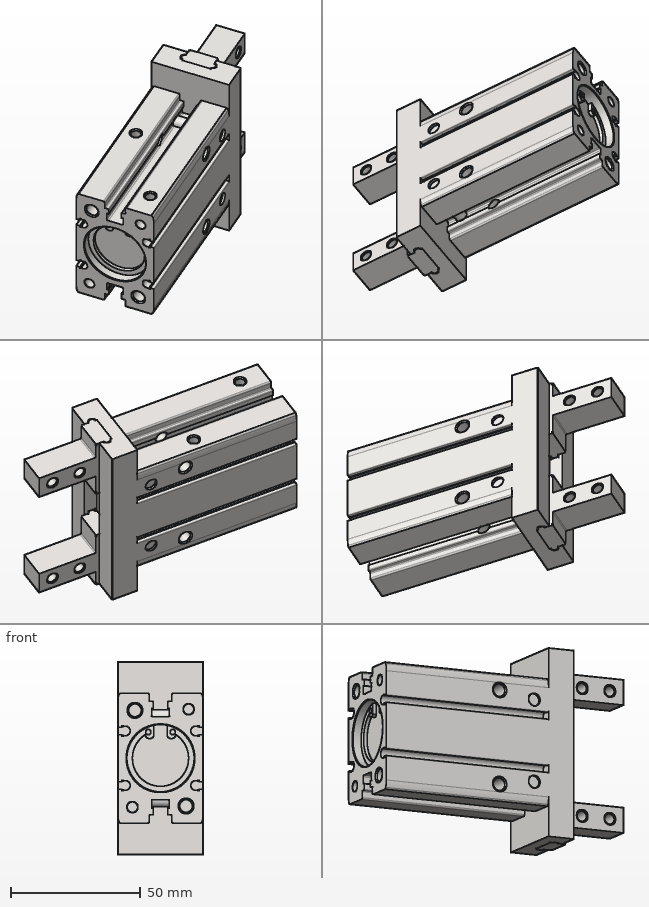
import cadquery as cq

width = 33.0
body_height = 50.4
guide_height = 74.6
total_length = 107.6
body_length = 70.1
guide_length = 11.1
guide_chamfer = 0.3
guide_front = body_length + guide_length
half_width = width / 2
half_height = body_height / 2
margin = 0.1

flank_height = 3.5
flank_inset = 0.38
flank_bow = 0.1
corner_size = 0.7
corner_bow = 0.05

slot_half_width = 4.4
slot_step_depth = 3.2
neck_half_width = 2.75
neck_depth = 5.8
cavity_half_width = 3.4
slot_depth = 9.2
slot_edge_radius = 0.6
slot_step_radius = 0.3
slot_floor_radius = 0.5

groove_offset = 10.5
groove_diameter = 3.8
groove_inset = 2.9
groove_mouth = 2.9
groove_lip_radius = 0.16
undercut_start = 1.6
undercut_end = 2.0
undercut_height = 4.1

bore_diameter = 26.0
bore_chamfer = 0.27
ring_recess = 3.8
ring_thickness = 1.5
ring_inner_diameter = 21.7
ring_gap = 5.4
ear_outer_x = 5.9
ear_outer_bottom = 8.9
ear_inner_bottom = 8.4
ear_bottom = 7.6
ear_hole_diameter = 2.0
ear_hole_x = 4.7
ear_hole_z = 10.1

mount_diameter = 5.0
mount_chamfer = 0.5
rear_mount_x = 9.9
rear_mount_z = 18.5
rear_mount_depth = 9.7
rear_dowel_diameter = 4.1
rear_dowel_chamfer = 0.1
rear_dowel_x = 10.9
rear_dowel_z = 19.0
rear_dowel_depth = 6.5
side_mount_y = 49.0
side_mount_z = 18.6
port_diameter = 4.0
port_chamfer = 0.5
port_depth = 3.8
port_places = [(-10.2, 41.9), (10.2, 10.5)]

pin_diameter = 5.0
pin_y = 63.9
pin_z = 16.3
pin_recess = 1.1

jaw_width = 12.2
jaw_bottom = 75.8
jaw_base_front = 82.7
jaw_base_inner = 10.9
jaw_base_outer = guide_height / 2
rail_y = 77.8
rail_half_height = 1.4
rail_reach = 1.1
race_half_height = 1.6
race_reach = 1.5
race_end = 9.7
relief_size = 0.4
relief_length = 0.9
finger_height = 10.0
finger_z = 25.3
finger_fillet = 0.4
finger_hole_diameter = 4.1
finger_hole_chamfer = 0.4
finger_hole_tip_distance = 5.9
finger_hole_spacing = 12.0


def box(x_min, x_max, y_min, y_max, z_min, z_max):
    size = (x_max - x_min, y_max - y_min, z_max - z_min)
    return cq.Workplane("XY").box(*size, centered=False).translate((x_min, y_min, z_min))


def rod(axis, diameter, start, length):
    """Cylinder along a positive axis, starting at a point."""
    direction = {"X": (1, 0, 0), "Y": (0, 1, 0), "Z": (0, 0, 1)}[axis]
    plane = cq.Plane(origin=start, normal=direction)
    return cq.Workplane(plane).circle(diameter / 2).extrude(length)


def chamfered_hole(point, inward, diameter, depth, chamfer):
    """Cutter for a blind hole with a conical mouth."""
    plane = cq.Plane(origin=point, normal=inward)
    hole = cq.Workplane(plane).circle(diameter / 2).extrude(depth)
    mouth = cq.Workplane(plane).circle(diameter / 2 + chamfer).extrude(chamfer, taper=45)
    return hole.union(mouth)


def lengthwise_edges(solid, x_range, z_range):
    """Edges along Y whose centres lie in a range of X and Z."""
    region = cq.selectors.BoxSelector(
        (x_range[0], 0, z_range[0]), (x_range[1], total_length, z_range[1]))
    return solid.edges("|Y").edges(region)


def body_blank():
    flank_start = half_height - flank_height
    flank_end = half_height - corner_size
    flank_x = half_width - flank_inset
    land_x = flank_x - corner_size
    bow_x = half_width - flank_inset / 2 + flank_bow
    bow_z = (flank_start + flank_end) / 2
    round_x = land_x + corner_size / 2 + corner_bow
    round_z = flank_end + corner_size / 2 + corner_bow
    return (
        cq.Workplane("XZ")
        .moveTo(-half_width, -flank_start)
        .lineTo(-half_width, flank_start)
        .threePointArc((-bow_x, bow_z), (-flank_x, flank_end))
        .threePointArc((-round_x, round_z), (-land_x, half_height))
        .lineTo(land_x, half_height)
        .threePointArc((round_x, round_z), (flank_x, flank_end))
        .threePointArc((bow_x, bow_z), (half_width, flank_start))
        .lineTo(half_width, -flank_start)
        .threePointArc((bow_x, -bow_z), (flank_x, -flank_end))
        .threePointArc((round_x, -round_z), (land_x, -half_height))
        .lineTo(-land_x, -half_height)
        .threePointArc((-round_x, -round_z), (-flank_x, -flank_end))
        .threePointArc((-bow_x, -bow_z), (-half_width, -flank_start))
        .close()
        .extrude(-body_length)
    )


def stepped_slot():
    """Cutter for the upper slot: wide mouth, narrow neck, wider cavity."""
    step_z = half_height - slot_step_depth
    neck_z = half_height - neck_depth
    floor_z = half_height - slot_depth
    mouth = box(-slot_half_width, slot_half_width, 0, body_length, step_z, half_height)
    neck = box(-neck_half_width, neck_half_width, 0, body_length, neck_z, step_z)
    cavity = box(-cavity_half_width, cavity_half_width, 0, body_length, floor_z, neck_z)
    cavity = cavity.edges("|Y and <Z").fillet(slot_floor_radius)
    slot = mouth.union(neck).union(cavity)
    across = (-half_width, half_width)
    at_step = (step_z - margin, step_z + margin)
    return lengthwise_edges(slot, across, at_step).fillet(slot_step_radius)


def sensor_groove(side, z):
    """Cutter for a keyhole-shaped groove with a narrow undercut behind its lips."""
    channel = rod("Y", groove_diameter, (side * (half_width - groove_inset), 0, z), body_length)
    mouth = box(-groove_inset, 0, 0, body_length, -groove_mouth / 2, groove_mouth / 2)
    undercut = box(-undercut_end, -undercut_start, 0, body_length,
                   -undercut_height / 2, undercut_height / 2)
    entry = mouth.union(undercut)
    if side < 0:
        entry = entry.mirror("YZ")
    return channel.union(entry.translate((side * half_width, 0, z)))


def retaining_ring():
    """Open ring in the rear bore with two drilled ears beside the gap."""
    start = (0, ring_recess, 0)
    outer = rod("Y", bore_diameter, start, ring_thickness)
    ring = outer.cut(rod("Y", ring_inner_diameter, start, ring_thickness))
    ring_end = ring_recess + ring_thickness
    ring = ring.cut(box(-ring_gap / 2, ring_gap / 2, ring_recess, ring_end, 0, half_height))
    for side in (-1, 1):
        ear = (
            cq.Workplane(cq.Plane(origin=start, xDir=(1, 0, 0), normal=(0, -1, 0)))
            .moveTo(side * ring_gap / 2, bore_diameter / 2)
            .lineTo(side * ring_gap / 2, ear_inner_bottom)
            .threePointArc((side * ear_hole_x, ear_bottom), (side * ear_outer_x, ear_outer_bottom))
            .lineTo(side * ear_outer_x, bore_diameter / 2)
            .close()
            .extrude(-ring_thickness)
        )
        ring = ring.union(ear.intersect(outer))
        ear_hole = (side * ear_hole_x, ring_recess, ear_hole_z)
        ring = ring.cut(rod("Y", ear_hole_diameter, ear_hole, ring_thickness))
    return ring


def jaw_section(half_rail, reach):
    """XY outline of the jaw base with a rounded rail on each side."""
    side = jaw_width / 2
    return (
        cq.Workplane("XY")
        .moveTo(-side, jaw_bottom)
        .lineTo(side, jaw_bottom)
        .lineTo(side, rail_y - half_rail)
        .threePointArc((side + reach, rail_y), (side, rail_y + half_rail))
        .lineTo(side, jaw_base_front)
        .lineTo(-side, jaw_base_front)
        .lineTo(-side, rail_y + half_rail)
        .threePointArc((-side - reach, rail_y), (-side, rail_y - half_rail))
        .close()
    )


def corner_relief(x, z):
    """Cutter that bevels a short stretch of a front edge of the jaw base."""
    return (
        cq.Workplane("XY")
        .workplane(offset=z)
        .moveTo(x - relief_size, jaw_base_front)
        .lineTo(x, jaw_base_front - relief_size)
        .lineTo(x + relief_size, jaw_base_front)
        .lineTo(x, jaw_base_front + relief_size)
        .close()
        .extrude(relief_length)
    )


def make_housing():
    body = body_blank()

    slot = stepped_slot()
    body = body.cut(slot).cut(slot.mirror("XY"))
    over_slot = (-slot_half_width - margin, slot_half_width + margin)
    for z in (-half_height, half_height):
        mouth_edges = lengthwise_edges(body, over_slot, (z - margin, z + margin))
        body = mouth_edges.fillet(slot_edge_radius)

    for side in (-1, 1):
        for z in (-groove_offset, groove_offset):
            body = body.cut(sensor_groove(side, z))
            side_x = side * half_width
            lip_heights = (z - groove_mouth, z + groove_mouth)
            lip_edges = lengthwise_edges(body, (side_x - margin, side_x + margin), lip_heights)
            body = lip_edges.fillet(groove_lip_radius)

    bore_depth = ring_recess + ring_thickness
    body = body.cut(chamfered_hole((0, 0, 0), (0, 1, 0), bore_diameter, bore_depth, bore_chamfer))
    body = body.union(retaining_ring())

    for side in (-1, 1):
        mount = (-side * rear_mount_x, 0, side * rear_mount_z)
        dowel = (side * rear_dowel_x, 0, side * rear_dowel_z)
        body = body.cut(
            chamfered_hole(mount, (0, 1, 0), mount_diameter, rear_mount_depth, mount_chamfer))
        body = body.cut(
            chamfered_hole(dowel, (0, 1, 0), rear_dowel_diameter, rear_dowel_depth, rear_dowel_chamfer))

    for z in (-side_mount_z, side_mount_z):
        for side in (-1, 1):
            mouth = (side * half_width, side_mount_y, z)
            body = body.cut(
                chamfered_hole(mouth, (-side, 0, 0), mount_diameter, half_width, mount_chamfer))

    for x, y in port_places:
        body = body.cut(
            chamfered_hole((x, y, half_height), (0, 0, -1), port_diameter, port_depth, port_chamfer))

    pin_length = width - 2 * pin_recess
    for z in (-pin_z, pin_z):
        body = body.cut(rod("X", pin_diameter, (-half_width, pin_y, z), width))
        body = body.union(rod("X", pin_diameter, (-pin_length / 2, pin_y, z), pin_length))

    guide = box(-half_width, half_width, body_length, guide_front, -guide_height / 2, guide_height / 2)
    guide = guide.faces(">Y").edges("|Z").chamfer(guide_chamfer)
    core = box(-jaw_width / 2, jaw_width / 2, jaw_bottom, guide_front, -race_end, race_end)
    track = jaw_section(race_half_height, race_reach).extrude(guide_height / 2, both=True)
    web = box(-half_width, half_width, body_length, jaw_base_front, -race_end, race_end)
    web = web.intersect(guide).cut(core)
    return body.union(guide.cut(track)).union(web)


def make_jaw(side):
    """Jaw on the upper (side = 1) or lower (side = -1) end of the guide."""
    base = jaw_section(rail_half_height, rail_reach).extrude(jaw_base_outer - jaw_base_inner)
    jaw = base.translate((0, 0, jaw_base_inner))

    for x in (-jaw_width / 2, jaw_width / 2):
        for z in (jaw_base_inner, jaw_base_outer - relief_length):
            jaw = jaw.cut(corner_relief(x, z))

    finger_low = finger_z - finger_height / 2
    finger_high = finger_z + finger_height / 2
    finger = box(-jaw_width / 2, jaw_width / 2, jaw_bottom, total_length, finger_low, finger_high)
    jaw = jaw.union(finger)
    for z in (finger_low, finger_high):
        root = cq.selectors.NearestToPointSelector((0, jaw_base_front, z))
        jaw = jaw.edges("|X").edges(root).fillet(finger_fillet)

    for index in range(2):
        y = total_length - finger_hole_tip_distance - index * finger_hole_spacing
        for face in (-1, 1):
            mouth = (face * jaw_width / 2, y, finger_z)
            jaw = jaw.cut(chamfered_hole(
                mouth, (-face, 0, 0), finger_hole_diameter, jaw_width / 2, finger_hole_chamfer))

    return jaw if side > 0 else jaw.mirror("XY")


housing = make_housing()
jaws = [make_jaw(side) for side in (-1, 1)]

result = cq.Compound.makeCompound([housing.val(), *[jaw.val() for jaw in jaws]])